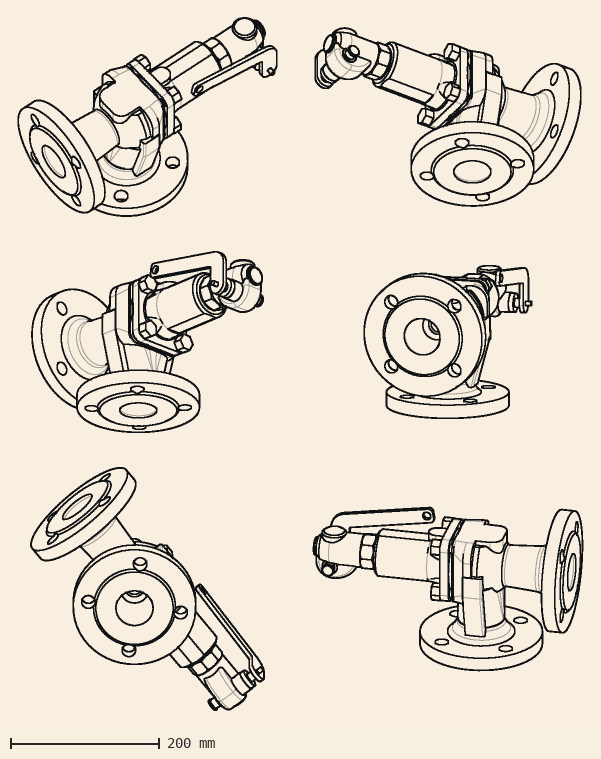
import cadquery as cq
import math


BRANCH_LENGTH = 125.0
FLANGE_RADIUS = 82.5
FLANGE_BACK = 102.3
FLANGE_FRONT = 120.7
RAISED_FACE_START = 121.8
RAISED_FACE_RADIUS = 55.2
RAISED_FACE_CHAMFER = 3.2
NECK_ROOT_RADIUS = 25.5
NECK_END_RADIUS = 31.0
NECK_END = 81.5
FLARE_START = 86.5
FLARE_START_RADIUS = 32.5
FLARE_END = 96.3
FLARE_END_RADIUS = 39.3
FLARE_FOOT_RADIUS = 45.3
FLANGE_HOLE_DIAMETER = 18.0
FLANGE_HOLE_CIRCLE = 125.0
FLANGE_HOLE_COUNT = 4
BORE_RADIUS = 24.95
BORE_MOUTH_DEPTH = 3.5
BORE_WAIST_RADIUS = 18.5
BORE_WAIST = 56.5
BORE_SEAT_RADIUS = 13.5
BORE_SEAT = 46.0
BORE_TIP_RADIUS = 10.5
BORE_TIP = 44.2

BODY_HALF_HEIGHT = 45.3
COVER_HALF_WIDTH = 44.2
BODY_TOP = 30.5
BODY_RIM = 28.0
BULGE_TOP = 12.7
BULGE_BASE = 1.8
BULGE_HALF_WIDTH = 54.5
BULGE_CORNER = 21.2
BULB_RADIUS = 50.3
BULB_TOP = -5.3
BULB_MIDDLE_RADIUS = 41.0
BULB_MIDDLE = -22.0
BULB_FOOT_RADIUS = 28.3
BULB_FOOT = -34.7
BULB_END_RADIUS = 28.0
BULB_END = -42.5
BULB_UPPER_LIMIT = 39.0
BULB_LOWER_LIMIT = -30.5
CORE_RADIUS = 38.2
WEB_TOP = -17.7
WEB_FOOT_HALF_WIDTH = 33.3
WEB_HALF_WIDTH = 51.0
WEB_HALF_DEPTH = 25.5
SADDLE_HALF_WIDTH = 26.2
SADDLE_END = -32.5
SADDLE_BOTTOM = 14.0
SADDLE_CORNER = 15.0
RIB_HALF_WIDTH = 55.5
RIB_TOP = 3.2
RIB_KNEE = -26.2
RIB_FOOT = -91.5
RIB_FOOT_HALF_WIDTH = 38.2
RIB_HALF_THICKNESS = 13.0
RIB_EDGE_FILLET = 2.5

BONNET_FLANGE_BOTTOM = 35.0
BONNET_FLANGE_TOP = 47.0
COVER_CORNER = 13.0
SPIGOT_RADIUS = 43.5
SKIRT_FOOT_RADIUS = 35.0
SKIRT_BASE_RADIUS = 34.5
SKIRT_BASE = 49.5
SKIRT_TOP = 68.3
SKIRT_FLAT_DISTANCE = 32.0
BONNET_RADIUS = 32.0
BONNET_FLAT_DISTANCE = 30.0
BONNET_SHOULDER = 138.8
BONNET_TOP = 142.3
BONNET_TOP_RADIUS = 28.0
NECK_COLLAR_RADIUS = 22.3
NECK_STUD_RADIUS = 14.0
BOSS_HALF_WIDTH = 12.0
BOSS_TIP = 72.2
BOSS_HEIGHT = 40.0

BOLT_OFFSET = 33.3
BOLT_SHANK_DIAMETER = 12.0
BOLT_END = 16.0
BOLT_HEAD_FLATS = 20.2
BOLT_HEAD_TOP = 59.5

NUT_BOTTOM = 143.7
NUT_TOP = 162.5
NUT_CORNER_RADIUS = 24.8
NUT_SIDES = 8
NUT_CHAMFER_RADIUS = 22.3
NUT_CHAMFER_HEIGHT = 2.0

CAP_RADIUS = 22.5
CAP_TAPER_START = 206.0
CAP_TAPER_RADIUS = 18.8
CAP_TAPER_END = 220.0
CAP_SHOULDER = 225.0
CAP_SHOULDER_RADIUS = 14.0
CAP_TIP = 229.0
CAP_TIP_RADIUS = 12.5
CAP_TIP_CHAMFER = 1.0
PLUG_Y = 203.0
PLUG_DIAMETER = 33.0
PLUG_TOP = 25.5
PLUG_CHAMFER = 2.5

SHAFT_Y = 205.3
SHAFT_Z = -21.0
CASE_HALF_THICKNESS = 15.2
CASE_RADIUS = 23.7
CASE_Y = 201.8
CASE_BOTTOM = -40.0
CASE_HEEL = 168.0
CASE_HEEL_Z = -17.0
CASE_EDGE_FILLET = 5.0
LEFT_BOSS_DIAMETER = 21.0
LEFT_BOSS_END = -17.0
RIGHT_BOSS_DIAMETER = 27.0
RIGHT_BOSS_END = 29.7
GLAND_DIAMETER = 26.0
GLAND_END = 36.0
SHAFT_HEAD_DIAMETER = 16.5
SHAFT_HEAD_START = -28.5
SHAFT_HEAD_CHAMFER = 1.0
SHAFT_HEAD_END = -26.0
SHAFT_WAIST_DIAMETER = 14.0
SHAFT_DIAMETER = 12.5
SHAFT_PIN_DIAMETER = 6.0
SHAFT_PIN_END = 58.0
LEVER_INNER_FACE = 45.0
LEVER_THICKNESS = 5.5
LEVER_ARM_HALF_WIDTH = 12.7
LEVER_BAR_SLOPE = 10.0
LEVER_BAR_WIDTH = 20.2
LEVER_TIP_Y = 78.5
LEVER_TIP_Z = 50.3
LEVER_TIP_CORNER = 5.3
LEVER_ELBOW_RADIUS = 21.2
LEVER_INNER_RADIUS = 3.0
LEVER_HOLE_DIAMETER = 11.0
LEVER_HOLE_Y = 85.5
LEVER_HOLE_Z = 39.0


def turned_about_y(points):
    """Solid of revolution about Y from an (radius, y) outline."""
    return cq.Workplane("XY").polyline(points).close().revolve(360, (0, 0, 0), (0, 1, 0))


def rod_along_x(diameter, start, end):
    """Round bar on the lever shaft axis."""
    return cq.Workplane("YZ", origin=(start, SHAFT_Y, SHAFT_Z)).circle(diameter / 2).extrude(end - start)


def section_at(y):
    """Sketch plane square to Y whose extrusions run toward +Y, with local x along -X."""
    return cq.Workplane(cq.Plane(origin=(0, y, 0), xDir=(-1, 0, 0), normal=(0, 1, 0)))


def rounded_slab(half_width, half_height, corner, start, end):
    """Slab between two y positions with its four Y edges rounded."""
    slab = section_at(start).rect(2 * half_width, 2 * half_height).extrude(end - start)
    return slab.edges("|Y").fillet(corner)


def rounded_loft(start, end):
    """Loft between two (y, half width, half height, corner radius) sections."""
    wires = []
    for y, half_width, half_height, corner in (start, end):
        sketch = cq.Sketch().rect(2 * half_width, 2 * half_height).vertices().fillet(corner)
        wires.append(section_at(y).placeSketch(sketch).extrude(3.5).faces("<Y").wires().val())
    return cq.Workplane(cq.Solid.makeLoft(wires, True))


def bolt_positions():
    """(x, z, turn about Y) of each bonnet bolt."""
    angles = [45 + 90 * i for i in range(4)]
    reach = BOLT_OFFSET * math.sqrt(2)
    return [(reach * math.cos(math.radians(a)), reach * math.sin(math.radians(a)), 45 - a) for a in angles]


def branch():
    """Conical neck with its flange, pointing along -Z from the origin."""
    outline = (
        cq.Workplane("XZ")
        .lineTo(NECK_ROOT_RADIUS, 0)
        .lineTo(NECK_END_RADIUS, -NECK_END)
        .lineTo(FLARE_START_RADIUS, -FLARE_START)
        .lineTo(FLARE_END_RADIUS, -FLARE_END)
        .tangentArcPoint((FLARE_FOOT_RADIUS, -FLANGE_BACK), relative=False)
        .lineTo(FLANGE_RADIUS, -FLANGE_BACK)
        .lineTo(FLANGE_RADIUS, -FLANGE_FRONT)
        .lineTo(RAISED_FACE_RADIUS, -RAISED_FACE_START)
        .lineTo(RAISED_FACE_RADIUS - RAISED_FACE_CHAMFER, -BRANCH_LENGTH)
        .lineTo(0, -BRANCH_LENGTH)
        .close()
    )
    solid = outline.revolve(360, (0, 0, 0), (0, 1, 0))
    holes = (
        cq.Workplane("XY", origin=(0, 0, -BRANCH_LENGTH))
        .polarArray(FLANGE_HOLE_CIRCLE / 2, 45, 360, FLANGE_HOLE_COUNT)
        .circle(FLANGE_HOLE_DIAMETER / 2)
        .extrude(BRANCH_LENGTH - FLANGE_BACK)
    )
    return solid.cut(holes)


def branch_bore():
    """Tapered blind bore of a branch along -Z."""
    outline = [
        (0, -BRANCH_LENGTH),
        (BORE_RADIUS, -BRANCH_LENGTH),
        (BORE_RADIUS, -BRANCH_LENGTH + BORE_MOUTH_DEPTH),
        (BORE_WAIST_RADIUS, -BORE_WAIST),
        (BORE_SEAT_RADIUS, -BORE_SEAT),
        (BORE_TIP_RADIUS, -BORE_TIP),
        (0, -BORE_TIP),
    ]
    return cq.Workplane("XZ").polyline(outline).close().revolve(360, (0, 0, 0), (0, 1, 0))


def toward_outlet(shape):
    """Swing a branch feature from -Z to -Y."""
    return shape.rotate((0, 0, 0), (1, 0, 0), -90)


def side_ribs():
    """The two tapering ribs down the sides of the inlet neck, as one plate through the axis."""
    outline = [
        (RIB_HALF_WIDTH, RIB_TOP),
        (RIB_HALF_WIDTH, RIB_KNEE),
        (RIB_FOOT_HALF_WIDTH, RIB_FOOT),
        (-RIB_FOOT_HALF_WIDTH, RIB_FOOT),
        (-RIB_HALF_WIDTH, RIB_KNEE),
        (-RIB_HALF_WIDTH, RIB_TOP),
    ]
    plate = cq.Workplane("XZ").polyline(outline).close().extrude(RIB_HALF_THICKNESS, both=True)
    outer_edges = plate.faces("<Y").edges("not(|X)")
    return outer_edges.fillet(RIB_EDGE_FILLET)


def bulb():
    """Rounded shoulder narrowing from the bulge into the outlet neck."""
    shape = (
        cq.Workplane("XY")
        .moveTo(0, BULGE_BASE)
        .lineTo(BULB_RADIUS, BULGE_BASE)
        .lineTo(BULB_RADIUS, BULB_TOP)
        .threePointArc((BULB_MIDDLE_RADIUS, BULB_MIDDLE), (BULB_FOOT_RADIUS, BULB_FOOT))
        .lineTo(BULB_END_RADIUS, BULB_END)
        .lineTo(0, BULB_END)
        .close()
        .revolve(360, (0, 0, 0), (0, 1, 0))
    )
    height_limit = cq.Workplane("XY", origin=(0, 0, BULB_LOWER_LIMIT)).rect(
        2 * BULB_RADIUS, -2 * BULB_END
    ).extrude(BULB_UPPER_LIMIT - BULB_LOWER_LIMIT)
    return shape.intersect(height_limit)


def webs():
    """Slot-shaped taper that widens the inlet neck sideways up to the bulge."""
    return (
        cq.Workplane("XY", origin=(0, 0, -NECK_END))
        .slot2D(2 * WEB_FOOT_HALF_WIDTH, 2 * NECK_END_RADIUS)
        .workplane(offset=NECK_END + WEB_TOP)
        .slot2D(2 * WEB_HALF_WIDTH, 2 * WEB_HALF_DEPTH)
        .loft(ruled=True)
    )


def saddle():
    """Flat-topped block over the outlet neck, reaching back to the rim of the body."""
    length = BODY_RIM - SADDLE_END
    block = cq.Workplane("XY", origin=(0, SADDLE_END + length / 2, SADDLE_BOTTOM)).rect(
        2 * SADDLE_HALF_WIDTH, length
    ).extrude(BODY_HALF_HEIGHT - SADDLE_BOTTOM)
    return block.edges("|Z and <Y").fillet(SADDLE_CORNER)


def make_body():
    rim = rounded_slab(COVER_HALF_WIDTH, BODY_HALF_HEIGHT, COVER_CORNER, BODY_RIM, BODY_TOP)
    taper = rounded_loft(
        (BULGE_TOP, BULGE_HALF_WIDTH, BODY_HALF_HEIGHT, BULGE_CORNER),
        (BODY_RIM, COVER_HALF_WIDTH, BODY_HALF_HEIGHT, COVER_CORNER),
    )
    bulge = rounded_slab(BULGE_HALF_WIDTH, BODY_HALF_HEIGHT, BULGE_CORNER, BULGE_BASE, BULGE_TOP)
    above_body = section_at(BODY_TOP).rect(4 * CORE_RADIUS, 4 * CORE_RADIUS).extrude(2 * CORE_RADIUS)
    core = cq.Workplane("XY").sphere(CORE_RADIUS).cut(above_body)
    body = branch().union(toward_outlet(branch())).union(core).union(side_ribs())
    for part in (rim, taper, bulge, bulb(), webs(), saddle()):
        body = body.union(part)
    body = body.cut(branch_bore()).cut(toward_outlet(branch_bore()))
    return body.cut(bolt_holes())


def bolt_shank(x, z):
    shank = section_at(BOLT_END).center(-x, z).circle(BOLT_SHANK_DIAMETER / 2)
    return shank.extrude(BONNET_FLANGE_TOP - BOLT_END)


def bolt_holes():
    holes = cq.Workplane("XY")
    for x, z, _ in bolt_positions():
        holes = holes.add(bolt_shank(x, z))
    return holes.combine()


def make_bolt(x, z, turn):
    """Hexagon bolt whose head is turned about its own axis."""
    head = (
        section_at(BONNET_FLANGE_TOP)
        .center(-x, z)
        .polygon(6, BOLT_HEAD_FLATS / math.cos(math.pi / 6))
        .extrude(BOLT_HEAD_TOP - BONNET_FLANGE_TOP)
        .rotate((x, 0, z), (x, 1, z), turn)
    )
    return head.union(bolt_shank(x, z))


def bonnet_skirt():
    """Conical foot of the spring housing, flattened on the four diagonals beside the bolts."""
    cone = turned_about_y([
        (0, SKIRT_BASE),
        (SKIRT_BASE_RADIUS, SKIRT_BASE),
        (BONNET_RADIUS, SKIRT_TOP),
        (0, SKIRT_TOP),
    ])
    diagonal_square = (
        section_at(SKIRT_BASE)
        .transformed(rotate=(0, 0, 45))
        .rect(2 * SKIRT_FLAT_DISTANCE, 2 * SKIRT_FLAT_DISTANCE)
        .extrude(SKIRT_TOP - SKIRT_BASE)
    )
    foot = turned_about_y([
        (0, BONNET_FLANGE_TOP),
        (SKIRT_FOOT_RADIUS, BONNET_FLANGE_TOP),
        (SKIRT_FLAT_DISTANCE, SKIRT_BASE),
        (0, SKIRT_BASE),
    ])
    return cone.intersect(diagonal_square).union(foot)


def spring_housing():
    """Round housing with a flat on top and underneath."""
    barrel = turned_about_y([
        (0, SKIRT_TOP),
        (BONNET_RADIUS, SKIRT_TOP),
        (BONNET_RADIUS, BONNET_SHOULDER),
        (BONNET_TOP_RADIUS, BONNET_TOP),
        (0, BONNET_TOP),
    ])
    flats = (
        section_at(SKIRT_TOP)
        .rect(2 * BONNET_RADIUS, 2 * BONNET_FLAT_DISTANCE)
        .extrude(BONNET_TOP - SKIRT_TOP)
    )
    return barrel.intersect(flats)


def bonnet_boss():
    """Round-ended boss standing on the top flat next to the bonnet flange."""
    tip_centre = BOSS_TIP - BOSS_HALF_WIDTH
    return (
        cq.Workplane("XY")
        .moveTo(-BOSS_HALF_WIDTH, BONNET_FLANGE_TOP)
        .lineTo(BOSS_HALF_WIDTH, BONNET_FLANGE_TOP)
        .lineTo(BOSS_HALF_WIDTH, tip_centre)
        .threePointArc((0, BOSS_TIP), (-BOSS_HALF_WIDTH, tip_centre))
        .close()
        .extrude(BOSS_HEIGHT)
    )


def make_bonnet():
    flange = rounded_slab(
        COVER_HALF_WIDTH, BODY_HALF_HEIGHT, COVER_CORNER, BONNET_FLANGE_BOTTOM, BONNET_FLANGE_TOP
    )
    spigot = section_at(BODY_TOP).circle(SPIGOT_RADIUS).extrude(BONNET_FLANGE_BOTTOM - BODY_TOP)
    collar = section_at(BONNET_TOP).circle(NECK_COLLAR_RADIUS).extrude(NUT_BOTTOM - BONNET_TOP)
    stud = section_at(NUT_BOTTOM).circle(NECK_STUD_RADIUS).extrude(NUT_TOP - NUT_BOTTOM)
    bonnet = flange
    for part in (spigot, bonnet_skirt(), spring_housing(), bonnet_boss(), collar, stud):
        bonnet = bonnet.union(part)
    return bonnet.cut(bolt_holes())


def make_lock_nut():
    """Octagonal nut with conical chamfers at both ends."""
    block = (
        section_at(NUT_BOTTOM)
        .polygon(NUT_SIDES, 2 * NUT_CORNER_RADIUS)
        .circle(NECK_STUD_RADIUS)
        .extrude(NUT_TOP - NUT_BOTTOM)
    )
    envelope = turned_about_y([
        (0, NUT_BOTTOM),
        (NUT_CHAMFER_RADIUS, NUT_BOTTOM),
        (NUT_CORNER_RADIUS, NUT_BOTTOM + NUT_CHAMFER_HEIGHT),
        (NUT_CORNER_RADIUS, NUT_TOP - NUT_CHAMFER_HEIGHT),
        (NUT_CHAMFER_RADIUS, NUT_TOP),
        (0, NUT_TOP),
    ])
    return block.intersect(envelope)


def cam_case():
    """Rounded case for the lifting cam, hanging below the cap."""
    centre_z = CASE_BOTTOM + CASE_RADIUS
    case = (
        cq.Workplane("YZ", origin=(-CASE_HALF_THICKNESS, 0, 0))
        .moveTo(CASE_Y + CASE_RADIUS, 0)
        .lineTo(CASE_Y + CASE_RADIUS, centre_z)
        .threePointArc(
            (CASE_Y + CASE_RADIUS * math.sqrt(0.5), centre_z - CASE_RADIUS * math.sqrt(0.5)),
            (CASE_Y, CASE_BOTTOM),
        )
        .tangentArcPoint((CASE_HEEL, CASE_HEEL_Z), relative=False)
        .lineTo(CASE_HEEL, 0)
        .close()
        .extrude(2 * CASE_HALF_THICKNESS)
    )
    return case.edges("(<X or >X) and (not >Z)").fillet(CASE_EDGE_FILLET)


def make_cap():
    shell = turned_about_y([
        (0, NUT_TOP),
        (CAP_RADIUS, NUT_TOP),
        (CAP_RADIUS, CAP_TAPER_START),
        (CAP_TAPER_RADIUS, CAP_TAPER_END),
        (CAP_SHOULDER_RADIUS, CAP_SHOULDER),
        (CAP_TIP_RADIUS, CAP_SHOULDER),
        (CAP_TIP_RADIUS, CAP_TIP - CAP_TIP_CHAMFER),
        (CAP_TIP_RADIUS - CAP_TIP_CHAMFER, CAP_TIP),
        (0, CAP_TIP),
    ])
    plug = (
        cq.Workplane("XY", origin=(0, PLUG_Y, 0))
        .circle(PLUG_DIAMETER / 2)
        .extrude(PLUG_TOP)
        .faces(">Z")
        .chamfer(PLUG_CHAMFER)
    )
    left_boss = rod_along_x(LEFT_BOSS_DIAMETER, LEFT_BOSS_END, 0)
    right_boss = rod_along_x(RIGHT_BOSS_DIAMETER, 0, RIGHT_BOSS_END)
    gland = rod_along_x(GLAND_DIAMETER, RIGHT_BOSS_END, GLAND_END)
    cap = shell
    for part in (cam_case(), plug, left_boss, right_boss, gland):
        cap = cap.union(part)
    return cap


def make_shaft():
    head = rod_along_x(SHAFT_HEAD_DIAMETER, SHAFT_HEAD_START, SHAFT_HEAD_END)
    head = head.faces("<X").chamfer(SHAFT_HEAD_CHAMFER)
    waist = rod_along_x(SHAFT_WAIST_DIAMETER, SHAFT_HEAD_END, 0)
    journal = rod_along_x(SHAFT_DIAMETER, 0, LEVER_INNER_FACE)
    pin = rod_along_x(SHAFT_PIN_DIAMETER, LEVER_INNER_FACE, SHAFT_PIN_END)
    return head.union(waist).union(journal).union(pin)


def make_lever():
    """Flat angled lever: an arm around the shaft and a sloping bar running toward -Y."""
    slope = math.radians(LEVER_BAR_SLOPE)
    outer_y = SHAFT_Y + LEVER_ARM_HALF_WIDTH
    inner_y = SHAFT_Y - LEVER_ARM_HALF_WIDTH

    def bar_top(y):
        return LEVER_TIP_Z - (y - LEVER_TIP_Y) * math.tan(slope)

    tip_low_y = LEVER_TIP_Y - LEVER_BAR_WIDTH * math.sin(slope)
    tip_low_z = LEVER_TIP_Z - LEVER_BAR_WIDTH * math.cos(slope)
    inner_z = bar_top(inner_y) - LEVER_BAR_WIDTH / math.cos(slope)
    plate = cq.Workplane("YZ", origin=(LEVER_INNER_FACE, 0, 0))
    lever = (
        plate.moveTo(inner_y, SHAFT_Z)
        .threePointArc((SHAFT_Y, SHAFT_Z - LEVER_ARM_HALF_WIDTH), (outer_y, SHAFT_Z))
        .lineTo(outer_y, bar_top(outer_y))
        .lineTo(LEVER_TIP_Y, LEVER_TIP_Z)
        .lineTo(tip_low_y, tip_low_z)
        .lineTo(inner_y, inner_z)
        .close()
        .extrude(LEVER_THICKNESS)
    )

    def round_corner(shape, y, z, radius):
        nearest = cq.selectors.NearestToPointSelector((LEVER_INNER_FACE + LEVER_THICKNESS / 2, y, z))
        return shape.edges("|X").edges(nearest).fillet(radius)

    lever = round_corner(lever, outer_y, bar_top(outer_y), LEVER_ELBOW_RADIUS)
    lever = round_corner(lever, LEVER_TIP_Y, LEVER_TIP_Z, LEVER_TIP_CORNER)
    lever = round_corner(lever, tip_low_y, tip_low_z, LEVER_TIP_CORNER)
    lever = round_corner(lever, inner_y, inner_z, LEVER_INNER_RADIUS)
    hole = plate.center(LEVER_HOLE_Y, LEVER_HOLE_Z).circle(LEVER_HOLE_DIAMETER / 2).extrude(LEVER_THICKNESS)
    return lever.cut(hole)


body = make_body()
bonnet = make_bonnet()
bolts = [make_bolt(*position) for position in bolt_positions()]
lock_nut = make_lock_nut()
shaft = make_shaft()
cap = make_cap().cut(shaft)
lever = make_lever().cut(shaft)

result = cq.Compound.makeCompound([
    body.val(),
    bonnet.val(),
    *[bolt.val() for bolt in bolts],
    lock_nut.val(),
    cap.val(),
    shaft.val(),
    lever.val(),
])